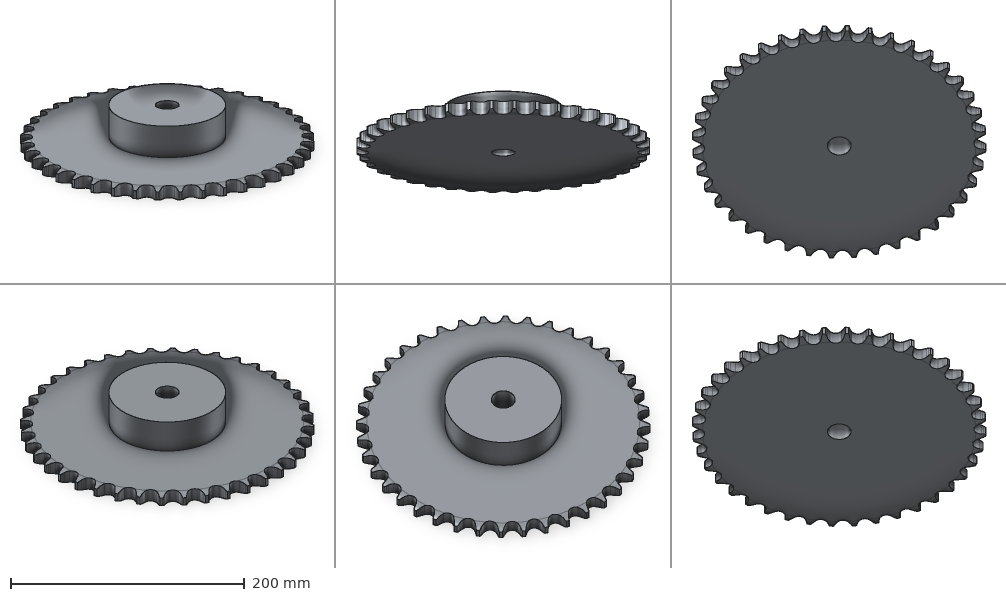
import cadquery as cq
import math

chain_pitch = 19.0
roller_diameter = 12.0
tooth_count = 40

outer_diameter = 251.2
plate_thickness = 11.3
flat_face_diameter = 233.7
tip_relief = 2.0

total_height = 40.0
hub_diameter = 100.0
bore_diameter = 20.0

tooth_angle = 360.0 / tooth_count
outer_radius = outer_diameter / 2
pitch_radius = chain_pitch / 2 / math.sin(math.radians(tooth_angle / 2))

seat_angle = 35 + 60 / tooth_count
working_angle = 18 - 56 / tooth_count
topping_angle = 17 - 64 / tooth_count
working_centre_offset = 0.8 * roller_diameter
topping_centre_offset = 1.4 * roller_diameter
seat_radius = 0.5025 * roller_diameter
working_radius = seat_radius + working_centre_offset
straight_length = (
    topping_centre_offset * math.sin(math.radians(topping_angle))
    - working_centre_offset * math.sin(math.radians(working_angle))
)
topping_radius = (
    working_centre_offset * math.cos(math.radians(working_angle))
    + topping_centre_offset * math.cos(math.radians(topping_angle))
    - working_radius
)
cutter_overrun = 1.3


def polar_point(centre, radius, angle):
    """Point at a distance and an angle in degrees from a centre."""
    turn = math.radians(angle)
    return (centre[0] + radius * math.cos(turn), centre[1] + radius * math.sin(turn))


def mirrored(point):
    """Matching point on the other flank of the tooth gap."""
    return (-point[0], point[1])


def make_blank():
    """Disc whose two side faces curve inward toward the rim."""
    flat_radius = flat_face_diameter / 2
    relief_width = outer_radius - flat_radius
    relief_radius = (relief_width**2 + tip_relief**2) / (2 * tip_relief)
    half_sweep = math.asin(relief_width / relief_radius) / 2
    mid_radius = flat_radius + relief_radius * math.sin(half_sweep)
    mid_drop = relief_radius * (1 - math.cos(half_sweep))
    return (
        cq.Workplane("XZ")
        .lineTo(flat_radius, 0)
        .threePointArc((mid_radius, mid_drop), (outer_radius, tip_relief))
        .lineTo(outer_radius, plate_thickness - tip_relief)
        .threePointArc(
            (mid_radius, plate_thickness - mid_drop),
            (flat_radius, plate_thickness),
        )
        .lineTo(0, plate_thickness)
        .close()
        .revolve(360, (0, 0, 0), (0, 1, 0))
    )


def make_gap_cutter():
    """Prism filling the tooth gap that is centred on the +Y axis."""
    roller_centre = (0, pitch_radius)
    flank_angle = seat_angle - working_angle
    straight_angle = math.radians(flank_angle)

    root = (0, pitch_radius - seat_radius)
    seat_end = polar_point(roller_centre, seat_radius, -seat_angle)
    working_centre = polar_point(roller_centre, working_centre_offset, 180 - seat_angle)
    working_mid = polar_point(working_centre, working_radius, -seat_angle + working_angle / 2)
    working_end = polar_point(working_centre, working_radius, -flank_angle)
    straight_end = (
        working_end[0] + straight_length * math.sin(straight_angle),
        working_end[1] + straight_length * math.cos(straight_angle),
    )
    topping_centre = polar_point(straight_end, topping_radius, -flank_angle)
    top_height = outer_radius + cutter_overrun
    top_rise = math.asin((top_height - topping_centre[1]) / topping_radius)
    top_angle = 180 - math.degrees(top_rise)
    topping_mid_angle = (180 - flank_angle + top_angle) / 2
    topping_mid = polar_point(topping_centre, topping_radius, topping_mid_angle)
    topping_end = polar_point(topping_centre, topping_radius, top_angle)

    return (
        cq.Workplane("XY")
        .moveTo(*mirrored(seat_end))
        .threePointArc(root, seat_end)
        .threePointArc(working_mid, working_end)
        .lineTo(*straight_end)
        .threePointArc(topping_mid, topping_end)
        .lineTo(*mirrored(topping_end))
        .threePointArc(mirrored(topping_mid), mirrored(straight_end))
        .lineTo(*mirrored(working_end))
        .threePointArc(mirrored(working_mid), mirrored(seat_end))
        .close()
        .extrude(plate_thickness)
    )


def cut_teeth(blank):
    """Cut one gap per tooth, spaced evenly around the rim."""
    cutter = make_gap_cutter().val()
    axis_start = cq.Vector(0, 0, 0)
    axis_end = cq.Vector(0, 0, 1)
    cutters = [cutter.rotate(axis_start, axis_end, i * tooth_angle) for i in range(tooth_count)]
    return cq.Workplane("XY").newObject([blank.val().cut(*cutters)])


plate = cut_teeth(make_blank())
hub = cq.Workplane("XY").circle(hub_diameter / 2).extrude(total_height)
bore = cq.Workplane("XY").circle(bore_diameter / 2).extrude(total_height)

result = plate.union(hub).cut(bore)